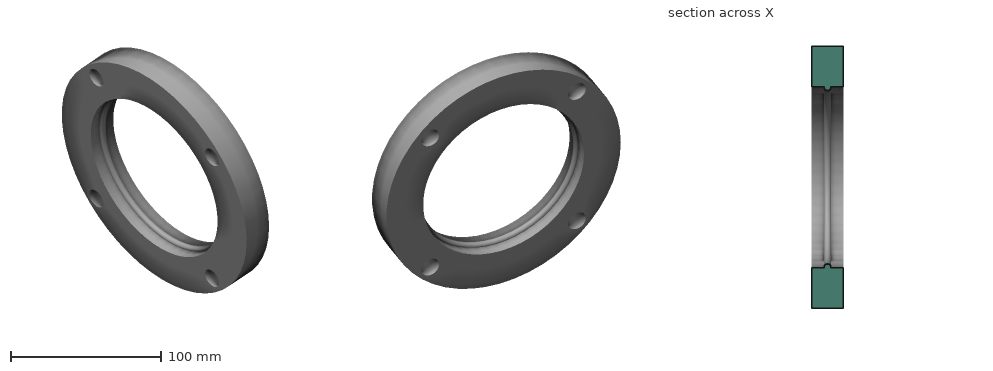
import cadquery as cq

outer_diameter = 175.0
thickness = 21.0
bore_diameter = 120.0

bead_radius = 2.5

hole_diameter = 13.5
hole_spacing = 109.5


def make_ring():
    """Plain flat ring with its axis along Y."""
    return (
        cq.Workplane("XZ", origin=(0, -thickness / 2, 0))
        .circle(outer_diameter / 2)
        .circle(bore_diameter / 2)
        .extrude(-thickness)
    )


def make_bead():
    """Half-round bead standing inward from the bore wall."""
    bore_radius = bore_diameter / 2
    root_radius = bore_radius + bead_radius
    return (
        cq.Workplane("XY")
        .moveTo(root_radius, -bead_radius)
        .lineTo(bore_radius, -bead_radius)
        .threePointArc((bore_radius - bead_radius, 0), (bore_radius, bead_radius))
        .lineTo(root_radius, bead_radius)
        .close()
        .revolve(360, (0, 0, 0), (0, 1, 0))
    )


def make_holes():
    """Cutters for the mounting holes."""
    return (
        cq.Workplane("XZ")
        .rect(hole_spacing, hole_spacing, forConstruction=True)
        .vertices()
        .circle(hole_diameter / 2)
        .extrude(thickness, both=True)
    )


result = make_ring().union(make_bead()).cut(make_holes())